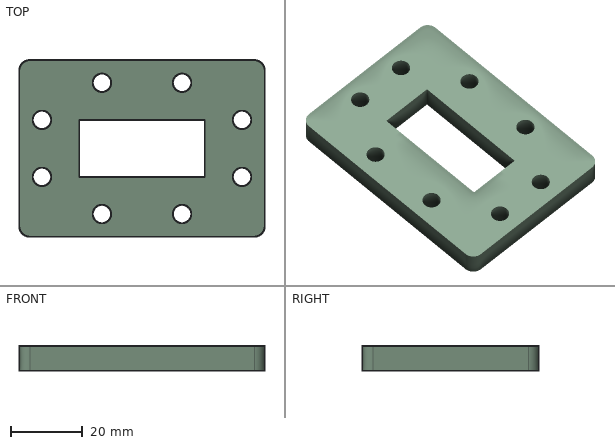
import cadquery as cq

length = 68.3
width = 49.2
thickness = 7.0
corner_radius = 3.0

window_length = 34.8
window_width = 15.8

hole_diameter = 5.05
long_edge_hole_x = 11.1
long_edge_hole_y = 18.25
short_edge_hole_x = 27.8
short_edge_hole_y = 7.9


def mirrored_points(x, y):
    """Return the four mirror images of a point about the X and Y axes."""
    return [(sx * x, sy * y) for sx in (-1, 1) for sy in (-1, 1)]


plate = (
    cq.Workplane("XY")
    .rect(length, width)
    .extrude(thickness)
    .edges("|Z")
    .fillet(corner_radius)
)

window = cq.Workplane("XY").rect(window_length, window_width).extrude(thickness)

hole_centers = (
    mirrored_points(long_edge_hole_x, long_edge_hole_y)
    + mirrored_points(short_edge_hole_x, short_edge_hole_y)
)
holes = (
    cq.Workplane("XY")
    .pushPoints(hole_centers)
    .circle(hole_diameter / 2)
    .extrude(thickness)
)

result = plate.cut(window).cut(holes)